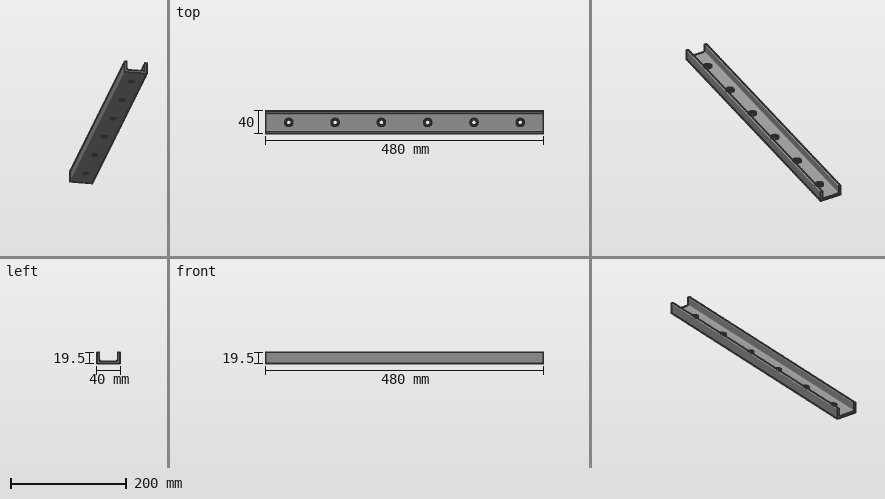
import cadquery as cq

length = 480.0
width = 40.0
height = 19.5
wall = 4.1
floor = 4.5
inner_fillet = 2.65
edge_fillet = 1.0

hole_count = 6
hole_pitch = length / hole_count
hole_diameter = 9.0
bore_diameter = 14.0
bore_depth = 2.5


def channel():
    """U-shaped rail with rounded inner corners and long edges, resting on Z = 0."""
    body = cq.Workplane("XY").box(length, width, height, centered=(True, True, False))
    groove = (
        cq.Workplane("XY")
        .workplane(offset=floor)
        .box(length, width - 2 * wall, height - floor, centered=(True, True, False))
        .edges("|X and <Z")
        .fillet(inner_fillet)
    )
    return body.cut(groove).faces(">Z or <Z").edges("|X").fillet(edge_fillet)


def drill_holes(body):
    """Counterbored holes along the centre line, half a pitch in from each end."""
    return (
        body.cut(
            cq.Workplane("XY")
            .workplane(offset=floor)
            .rarray(hole_pitch, 5, hole_count, 1)
            .circle(bore_diameter / 2)
            .extrude(-bore_depth)
        )
        .cut(
            cq.Workplane("XY")
            .rarray(hole_pitch, 5, hole_count, 1)
            .circle(hole_diameter / 2)
            .extrude(floor)
        )
    )


result = drill_holes(channel())